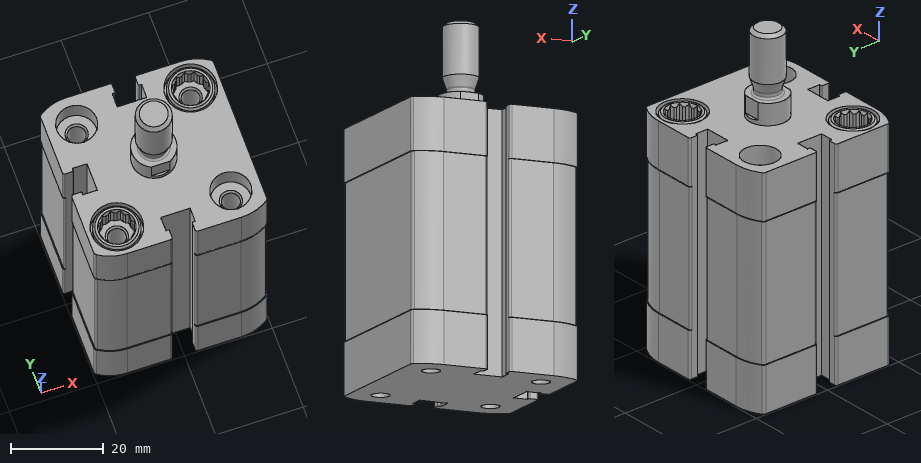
import cadquery as cq
import math

total_height = 80.5
width = 39.5
body_height = 59.0
cap_height = 12.0
half_width = width / 2
top = body_height

tube_inset = 0.25
corner_radius = 11.5
corner_fillet = 1.0

slot_opening = 5.2
slot_inner_width = 6.7
slot_depth = 5.7
slot_lip = 2.4
lip_outer_fillet = 0.5
lip_inner_fillet = 0.25
slot_angles = (0, 90, 180)

hole_spacing = 26.0
hole_offset = hole_spacing / 2
through_diameter = 4.1
through_chamfer_diameter = 5.0
counterbore_diameter = 9.0
counterbore_depth = 5.0

head_recess_diameter = 11.5
head_recess_depth = 2.0
head_diameter = 10.5
head_chamfer = 0.5
socket_diameter = 8.1
socket_bore_diameter = 7.5
socket_mouth_diameter = 8.3
socket_chamfer_depth = 0.9
socket_depth = 4.7

rod_diameter = 10.0
rod_seat_depth = cap_height
rod_shoulder_height = 5.5
flat_distance = 9.0
flat_length = 4.3
flat_runout_angle = 30
neck_diameter = 6.2
neck_fillet = 0.5
neck_cone_end = 14.65
thread_diameter = 8.0
thread_length = 12.0
tip_chamfer_height = 0.8
cut_clearance = 0.8
neck_margin = 0.2


def body_prism(inset, bottom, height):
    """Rounded block: flat sides, large corner arcs, small rounds on the +X and -X faces."""
    side = half_width - inset
    radius = corner_radius - inset
    reach = side - hole_offset
    drop = radius - math.sqrt(radius**2 - reach**2)
    arc_end_y = side - drop
    arc_turn = math.asin(reach / radius) / 2
    mid_x = hole_offset + radius * math.sin(arc_turn)
    mid_y = side - radius * (1 - math.cos(arc_turn))
    outline = (
        cq.Workplane("XY", origin=(0, 0, bottom))
        .moveTo(-hole_offset, side)
        .lineTo(hole_offset, side)
        .threePointArc((mid_x, mid_y), (side, arc_end_y))
        .lineTo(side, -arc_end_y)
        .threePointArc((mid_x, -mid_y), (hole_offset, -side))
        .lineTo(-hole_offset, -side)
        .threePointArc((-mid_x, -mid_y), (-side, -arc_end_y))
        .lineTo(-side, arc_end_y)
        .threePointArc((-mid_x, mid_y), (-hole_offset, side))
        .close()
    )
    prism = outline.extrude(height)
    return prism.edges("|Z and (<X or >X)").fillet(corner_fillet)


def slot_cutter(inset, bottom, height, angle):
    """T-slot open at the +Y face, turned about Z, with rounded lips."""
    face = half_width - inset
    lip_y = half_width - slot_lip
    floor_y = half_width - slot_depth
    half_open = slot_opening / 2
    half_inner = slot_inner_width / 2
    half_mouth = half_open + lip_outer_fillet
    half_throat = half_open + lip_inner_fillet
    outer_bend = lip_outer_fillet * (1 - math.sqrt(0.5))
    inner_bend = lip_inner_fillet * (1 - math.sqrt(0.5))
    return (
        cq.Workplane("XY", origin=(0, 0, bottom))
        .moveTo(0, face)
        .lineTo(half_mouth, face)
        .threePointArc((half_open + outer_bend, face - outer_bend), (half_open, face - lip_outer_fillet))
        .lineTo(half_open, lip_y + lip_inner_fillet)
        .threePointArc((half_open + inner_bend, lip_y + inner_bend), (half_throat, lip_y))
        .lineTo(half_inner, lip_y)
        .lineTo(half_inner, floor_y)
        .lineTo(0, floor_y)
        .mirrorY()
        .extrude(height)
        .rotate((0, 0, 0), (0, 0, 1), angle)
    )


def body_section(inset, bottom, height):
    """One length of the body with its three slots."""
    section = body_prism(inset, bottom, height)
    for angle in slot_angles:
        section = section.cut(slot_cutter(inset, bottom, height, angle))
    return section


def disc(x, y, diameter, z, height):
    """Upright cylinder standing on height z."""
    return cq.Workplane("XY", origin=(x, y, z)).circle(diameter / 2).extrude(height)


def cone(x, y, bottom_diameter, top_diameter, top_z, height):
    """Frustum for a chamfer that opens upward."""
    solid = cq.Solid.makeCone(bottom_diameter / 2, top_diameter / 2, height, cq.Vector(x, y, top_z - height))
    return cq.Workplane(obj=solid)


def through_hole(x, y, floor):
    """Hole through the body, chamfered where it meets the floor above it."""
    chamfer_height = (through_chamfer_diameter - through_diameter) / 2
    hole = disc(x, y, through_diameter, 0, body_height)
    return hole.union(cone(x, y, through_diameter, through_chamfer_diameter, floor, chamfer_height))


def counterbored_hole(x, y):
    """Plain counterbore above a through hole."""
    floor = top - counterbore_depth
    bore = disc(x, y, counterbore_diameter, floor, counterbore_depth)
    return bore.union(through_hole(x, y, floor))


def head_groove(x, y):
    """Ring recess that leaves a chamfered round head standing inside it."""
    floor = top - head_recess_depth
    recess = disc(x, y, head_recess_diameter, floor, head_recess_depth)
    head = disc(x, y, head_diameter, floor, head_recess_depth).faces(">Z").chamfer(head_chamfer)
    return recess.cut(head)


def twelve_point_socket(x, y):
    """Two crossed hexagons, trimmed by a bore, chamfered at the mouth."""
    floor = top - socket_depth
    socket = disc(x, y, socket_bore_diameter, floor, socket_depth)
    hexagon = cq.Workplane("XY").polygon(6, socket_diameter).extrude(socket_depth)
    for turn in (0, 30):
        socket = socket.union(hexagon.rotate((0, 0, 0), (0, 0, 1), turn).translate((x, y, floor)))
    mouth = cone(x, y, socket_bore_diameter, socket_mouth_diameter, top, socket_chamfer_depth)
    return socket.union(mouth).union(through_hole(x, y, floor))


def make_housing():
    """Tube between two end caps, with corner holes and a seat for the rod."""
    tube_height = body_height - 2 * cap_height
    housing = body_section(0, 0, cap_height)
    housing = housing.union(body_section(tube_inset, cap_height, tube_height))
    housing = housing.union(body_section(0, top - cap_height, cap_height))
    for side in (-1, 1):
        x = side * hole_offset
        housing = housing.cut(counterbored_hole(x, -x))
        housing = housing.cut(head_groove(x, x))
        housing = housing.cut(twelve_point_socket(x, x))
    return housing.cut(disc(0, 0, rod_diameter, top - rod_seat_depth, rod_seat_depth))


def spanner_flat(shoulder):
    """Cutter for the +Y flat; its lower end slopes down and outward."""
    flat_y = flat_distance / 2
    outer_y = rod_diameter / 2 + cut_clearance
    flat_bottom = shoulder - flat_length
    runout = (outer_y - flat_y) * math.tan(math.radians(flat_runout_angle))
    return (
        cq.Workplane("YZ")
        .moveTo(flat_y, shoulder)
        .lineTo(flat_y, flat_bottom)
        .lineTo(outer_y, flat_bottom - runout)
        .lineTo(outer_y, shoulder)
        .close()
        .extrude(rod_diameter / 2, both=True)
    )


def make_rod():
    """Turned rod with a plain thread-sized end, a relief neck and two spanner flats."""
    rod_radius = rod_diameter / 2
    neck_radius = neck_diameter / 2
    thread_radius = thread_diameter / 2
    shoulder = top + rod_shoulder_height
    neck_top = total_height - neck_cone_end
    rod = (
        cq.Workplane("XZ")
        .moveTo(0, top - rod_seat_depth)
        .lineTo(rod_radius, top - rod_seat_depth)
        .lineTo(rod_radius, shoulder)
        .lineTo(neck_radius, shoulder)
        .lineTo(neck_radius, neck_top)
        .lineTo(thread_radius, total_height - thread_length)
        .lineTo(thread_radius, total_height - tip_chamfer_height)
        .lineTo(neck_radius, total_height)
        .lineTo(0, total_height)
        .close()
        .revolve(360, (0, 0, 0), (0, 1, 0))
    )
    neck_reach = neck_radius + neck_margin
    neck_box = cq.selectors.BoxSelector(
        (-neck_reach, -neck_reach, shoulder - neck_margin),
        (neck_reach, neck_reach, neck_top + neck_margin),
        boundingbox=True,
    )
    rod = rod.edges(neck_box).fillet(neck_fillet)
    return rod.cut(spanner_flat(shoulder)).cut(spanner_flat(shoulder).mirror("XZ"))


housing = make_housing()
rod = make_rod()
result = cq.Compound.makeCompound([housing.val(), rod.val()])